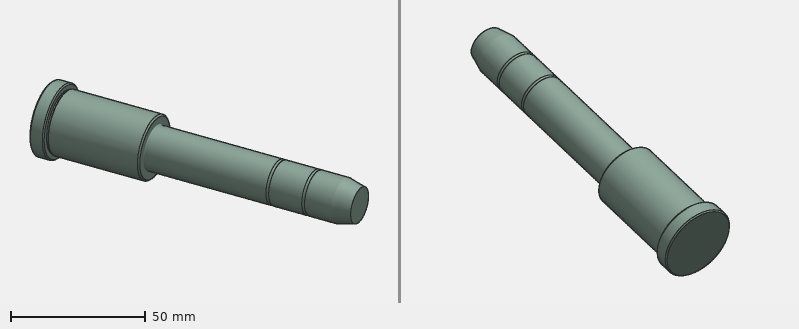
import cadquery as cq

total_length = 131.0
head_length = 6.0
shoulder_end = 45.0
taper_length = 7.1

head_diameter = 30.0
shoulder_diameter = 26.0
shank_diameter = 18.0
tip_diameter = 14.4

head_chamfer = 0.5
shoulder_chamfer = 0.7
shank_root_fillet = 0.4

relief_width = 0.8
relief_depth = 0.4

ring_groove_starts = (96.3, 111.4)
ring_groove_width = 1.2
ring_groove_depth = 0.4


def make_head_and_shoulder():
    """Stepped head end, revolved about X, with the relief groove behind the head."""
    head_radius = head_diameter / 2
    shoulder_radius = shoulder_diameter / 2
    relief_radius = shoulder_radius - relief_depth
    relief_end = head_length + relief_width
    outline = (
        cq.Workplane("XY")
        .lineTo(0, head_radius - head_chamfer)
        .lineTo(head_chamfer, head_radius)
        .lineTo(head_length - head_chamfer, head_radius)
        .lineTo(head_length, head_radius - head_chamfer)
        .lineTo(head_length, relief_radius)
        .lineTo(relief_end, relief_radius)
        .lineTo(relief_end, shoulder_radius)
        .lineTo(shoulder_end - shoulder_chamfer, shoulder_radius)
        .lineTo(shoulder_end, shoulder_radius - shoulder_chamfer)
        .lineTo(shoulder_end, 0)
        .close()
    )
    return outline.revolve(360, (0, 0, 0), (1, 0, 0))


def make_shank():
    """Shank with a filleted root, rounded ring grooves and a tapered tip, revolved about X."""
    shank_radius = shank_diameter / 2
    outline = (
        cq.Workplane("XY")
        .moveTo(shoulder_end, 0)
        .lineTo(shoulder_end, shank_radius + shank_root_fillet)
        .radiusArc((shoulder_end + shank_root_fillet, shank_radius), -shank_root_fillet)
    )
    for start in ring_groove_starts:
        groove_bottom = (start + ring_groove_width / 2, shank_radius - ring_groove_depth)
        groove_end = (start + ring_groove_width, shank_radius)
        outline = outline.lineTo(start, shank_radius).threePointArc(groove_bottom, groove_end)
    outline = (
        outline.lineTo(total_length - taper_length, shank_radius)
        .lineTo(total_length, tip_diameter / 2)
        .lineTo(total_length, 0)
        .close()
    )
    return outline.revolve(360, (0, 0, 0), (1, 0, 0))


result = make_head_and_shoulder().union(make_shank())